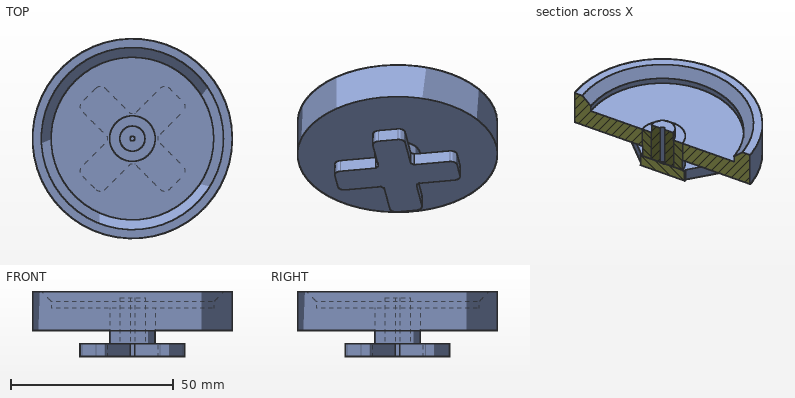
import cadquery as cq

foot_thickness = 4.0
wheel_bottom = 8.0
wheel_top = 20.0
floor_depth = 5.0
floor_level = wheel_top - floor_depth
pin_top = 18.0

wheel_diameter = 61.5
recess_diameter = 50.0
rim_bevel = 3.0

hub_diameter = 14.0
pin_diameter = 7.75
bore_diameter = 1.5

arm_span = 38.0
arm_width = 10.0
arm_corner_radius = 2.0
core_width = 15.5
arm_angles = (45, 135)


def cylinder(diameter, bottom, top):
    """Upright cylinder on the Z axis."""
    return cq.Workplane("XY").workplane(offset=bottom).circle(diameter / 2).extrude(top - bottom)


def make_wheel():
    """Dished wheel with a bevelled rim and a hole for the hub."""
    disc = cylinder(wheel_diameter, wheel_bottom, wheel_top)
    recess = cylinder(recess_diameter, floor_level, wheel_top)
    bevel = (
        cq.Workplane("XY")
        .workplane(offset=wheel_top - rim_bevel)
        .circle(recess_diameter / 2)
        .workplane(offset=rim_bevel)
        .circle(recess_diameter / 2 + rim_bevel)
        .loft()
    )
    hub_hole = cylinder(hub_diameter, wheel_bottom, floor_level)
    return disc.cut(recess).cut(bevel).cut(hub_hole)


def make_hub():
    """Sleeve from the foot up to the wheel floor, around the pin."""
    sleeve = cylinder(hub_diameter, foot_thickness, floor_level)
    return sleeve.cut(cylinder(pin_diameter, foot_thickness, floor_level))


def make_pin():
    """Bored pin that stands on the foot and rises above the wheel floor."""
    body = cylinder(pin_diameter, foot_thickness, pin_top)
    return body.cut(cylinder(bore_diameter, foot_thickness, pin_top))


def make_foot():
    """Diagonal cross with rounded arm corners and a square core that flattens the inner corners."""
    foot = cq.Workplane("XY").rect(core_width, core_width).extrude(foot_thickness)
    for angle in arm_angles:
        arm = cq.Workplane("XY").rect(arm_span, arm_width).extrude(foot_thickness)
        arm = arm.edges("|Z").fillet(arm_corner_radius)
        foot = foot.union(arm.rotate((0, 0, 0), (0, 0, 1), angle))
    return foot


wheel = make_wheel()
hub = make_hub()
pin = make_pin()
foot = make_foot()

result = cq.Compound.makeCompound([wheel.val(), hub.val(), pin.val(), foot.val()])